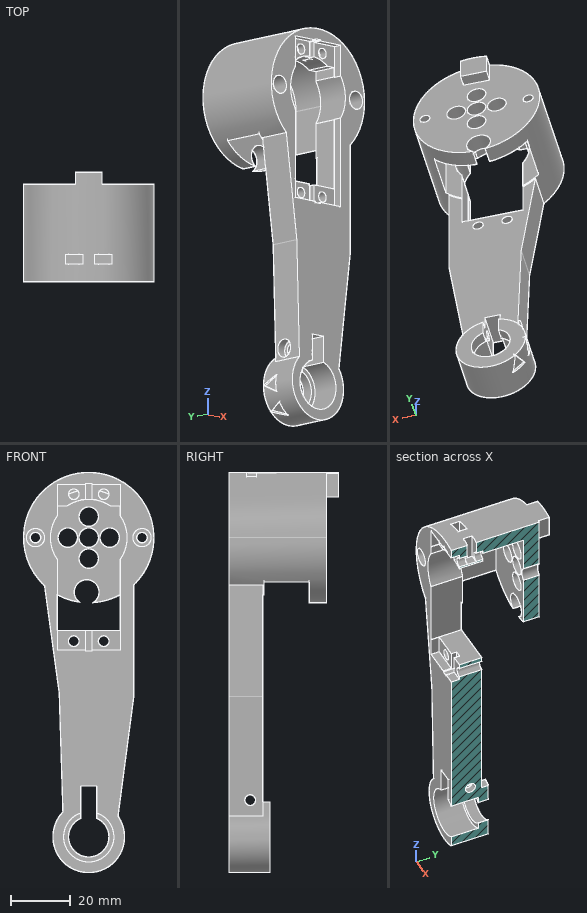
import cadquery as cq
import math


TOTAL_HEIGHT = 133.76
DRUM_RADIUS = 21.82
DRUM_LENGTH = 32.72
REAR_PLATE = 5.9
FRONT_DISC = 11.8
CHAMBER_RADIUS = 16.0
REAR_PLATE_Y = DRUM_LENGTH - REAR_PLATE
ARM_THICKNESS = 11.35
RING_RADIUS = 12.0
RING_Z = DRUM_RADIUS + RING_RADIUS - TOTAL_HEIGHT
RING_LENGTH = 13.85
RING_BORE_RADIUS = 8.4
RING_LIP_RADIUS = 6.7
RING_LIP = 3.85
CLAMP_SLOT_WIDTH = 5.3
CLAMP_SLOT_TOP = -83.05
CLAMP_SCREW_Y = 7.15
CLAMP_SCREW_Z = -87.7
ARM_ROOT_Z = -14.0
ARM_LEFT_TOP = -14.8
ARM_LEFT_KNEE = (-9.9, -51.9)
ARM_LEFT_BOTTOM = -8.6
ARM_RIGHT = 15.1
ARM_RIGHT_KNEE_Z = -53.0
ARM_RIGHT_BOTTOM = 9.7
ARM_FOOT_Z = -94.0
BODY_WIDTH = 21.0
BODY_TOP = 10.5
BODY_BOTTOM = -31.0
BODY_BORE_RADIUS = 12.8
FLANGE_LEFT = -10.4
FLANGE_RIGHT = 10.6
FLANGE_TOP = 17.7
FLANGE_BOTTOM = -37.5
FLANGE_DEPTH = 3.0
RIB_GROOVE_WIDTH = 2.2
RIB_GROOVE_DEPTH = 5.0
RIB_GROOVE_REACH = 0.4
SCREW_RADIUS = 1.75
SCREW_HALF_SPACING = 5.0
SCREW_TOP_Z = 14.5
SCREW_BOTTOM_Z = -34.6
NUT_SLOT_INNER = 2.0
NUT_SLOT_OUTER = 7.75
NUT_SLOT_START = 6.0
NUT_SLOT_END = 9.25
NUT_SLOT_FLOOR = 12.65
SIDE_SCREW_X = 17.8
SIDE_SCREW_RADIUS = 1.7
SCREW_HEAD_RADIUS = 3.05
SIDE_HEAD_DEPTH = 6.0
CLAMP_HEAD_DEPTH = 3.0
HORN_HOLE_RADIUS = 3.2
HORN_HOLE_SPACING = 7.0
CABLE_HOLE_RADIUS = 4.1
CABLE_HOLE_X = -0.7
CABLE_HOLE_Z = -18.2
TAB_WIDTH = 9.0
TAB_LENGTH = 4.0
TAB_BOTTOM = 13.5
MARK_ANGLES = (180, 225)
MARK_BASE_Y = 7.95
MARK_TIP_Y = 13.75
MARK_HALF_HEIGHT = 2.9
MARK_DEPTH = 0.85


def rod(radius, y0, y1, x=0.0, z=0.0):
    """Cylinder along Y from y0 to y1."""
    return cq.Workplane("XZ", origin=(x, y0, z)).circle(radius).extrude(y0 - y1)


def block(x0, x1, y0, y1, z0, z1):
    """Axis-aligned box between two corners."""
    return cq.Workplane("XY").box(x1 - x0, y1 - y0, z1 - z0, centered=False).translate((x0, y0, z0))


def centred_block(width, y0, y1, z0, z1):
    """Box that is symmetric about the YZ plane."""
    return block(-width / 2, width / 2, y0, y1, z0, z1)


def make_drum():
    """Plain drum with the stop tab standing out behind it."""
    tab_end = DRUM_LENGTH + TAB_LENGTH
    tab = rod(DRUM_RADIUS, DRUM_LENGTH, tab_end).intersect(
        centred_block(TAB_WIDTH, DRUM_LENGTH, tab_end, TAB_BOTTOM, 2 * DRUM_RADIUS)
    )
    return rod(DRUM_RADIUS, 0, DRUM_LENGTH).union(tab)


def make_arm():
    """Tapered arm ending in the clamp ring."""
    left_top_z = -math.sqrt(DRUM_RADIUS**2 - ARM_LEFT_TOP**2)
    right_top_z = -math.sqrt(DRUM_RADIUS**2 - ARM_RIGHT**2)
    outline = [
        (ARM_LEFT_TOP, left_top_z),
        ARM_LEFT_KNEE,
        (ARM_LEFT_BOTTOM, ARM_FOOT_Z),
        (ARM_RIGHT_BOTTOM, ARM_FOOT_Z),
        (ARM_RIGHT, ARM_RIGHT_KNEE_Z),
        (ARM_RIGHT, right_top_z),
        (0, ARM_ROOT_Z),
    ]
    arm = cq.Workplane("XZ").polyline(outline).close().extrude(-ARM_THICKNESS)
    return arm.union(rod(RING_RADIUS, 0, RING_LENGTH, z=RING_Z))


def horn_chamber():
    """Round-topped chamber between the front disc and the rear plate, open at the bottom."""
    round_top = rod(CHAMBER_RADIUS, FRONT_DISC, REAR_PLATE_Y)
    open_bottom = centred_block(2 * CHAMBER_RADIUS, FRONT_DISC, REAR_PLATE_Y, -2 * DRUM_RADIUS, 0)
    return round_top.union(open_bottom)


def servo_cavity():
    """Opening for the servo body, with the shallow pocket and rib grooves for its flanges."""
    body = centred_block(BODY_WIDTH, 0, FRONT_DISC, BODY_BOTTOM, BODY_TOP)
    bore = rod(BODY_BORE_RADIUS, 0, FRONT_DISC)
    flange = block(FLANGE_LEFT, FLANGE_RIGHT, 0, FLANGE_DEPTH, FLANGE_BOTTOM, FLANGE_TOP)
    rib_groove = centred_block(
        RIB_GROOVE_WIDTH,
        0,
        RIB_GROOVE_DEPTH,
        FLANGE_BOTTOM - RIB_GROOVE_REACH,
        FLANGE_TOP + RIB_GROOVE_REACH,
    )
    return body.union(bore).union(flange).union(rib_groove)


def servo_screws():
    """Four flange screw holes; the upper two have nut slots cut down from the drum surface."""
    cuts = cq.Workplane("XY")
    for side in (-1, 1):
        x = side * SCREW_HALF_SPACING
        top_screw = rod(SCREW_RADIUS, 0, FRONT_DISC, x, SCREW_TOP_Z)
        bottom_screw = rod(SCREW_RADIUS, 0, ARM_THICKNESS, x, SCREW_BOTTOM_Z)
        slot_x0, slot_x1 = sorted((side * NUT_SLOT_INNER, side * NUT_SLOT_OUTER))
        nut_slot = block(
            slot_x0, slot_x1, NUT_SLOT_START, NUT_SLOT_END, NUT_SLOT_FLOOR, 2 * DRUM_RADIUS
        )
        cuts = cuts.add(top_screw).add(bottom_screw).add(nut_slot)
    return cuts.combine()


def side_screws():
    """Counterbored holes running the length of the drum walls."""
    cuts = cq.Workplane("XY")
    for x in (-SIDE_SCREW_X, SIDE_SCREW_X):
        cuts = cuts.add(rod(SIDE_SCREW_RADIUS, 0, DRUM_LENGTH, x))
        cuts = cuts.add(rod(SCREW_HEAD_RADIUS, 0, SIDE_HEAD_DEPTH, x))
    return cuts.combine()


def rear_plate_holes():
    """Five servo horn holes in a cross, and the cable hole that opens at the rim."""
    holes = rod(HORN_HOLE_RADIUS, REAR_PLATE_Y, DRUM_LENGTH)
    for angle in range(0, 360, 90):
        x = HORN_HOLE_SPACING * math.cos(math.radians(angle))
        z = HORN_HOLE_SPACING * math.sin(math.radians(angle))
        holes = holes.union(rod(HORN_HOLE_RADIUS, REAR_PLATE_Y, DRUM_LENGTH, x, z))
    return holes.union(rod(CABLE_HOLE_RADIUS, REAR_PLATE_Y, DRUM_LENGTH, CABLE_HOLE_X, CABLE_HOLE_Z))


def clamp_cuts():
    """Ring bore with a rear lip, the clamp slot above it and the screw that closes it."""
    bore = rod(RING_BORE_RADIUS, 0, RING_LENGTH - RING_LIP, z=RING_Z)
    lip_bore = rod(RING_LIP_RADIUS, 0, RING_LENGTH, z=RING_Z)
    slot = centred_block(CLAMP_SLOT_WIDTH, 0, RING_LENGTH, RING_Z, CLAMP_SLOT_TOP)
    screw_plane = cq.Workplane("YZ", origin=(0, CLAMP_SCREW_Y, CLAMP_SCREW_Z))
    screw = screw_plane.circle(SCREW_RADIUS).extrude(RING_RADIUS, both=True)
    head = (
        screw_plane.workplane(offset=ARM_LEFT_BOTTOM + CLAMP_HEAD_DEPTH)
        .circle(SCREW_HEAD_RADIUS)
        .extrude(-RING_RADIUS)
    )
    return bore.union(lip_bore).union(slot).union(screw).union(head)


def index_mark(angle):
    """Flat-bottomed triangle pressed into the ring, pointing at its rear face."""
    mark = (
        cq.Workplane("YZ", origin=(RING_RADIUS - MARK_DEPTH, 0, 0))
        .polyline([(MARK_TIP_Y, 0), (MARK_BASE_Y, MARK_HALF_HEIGHT), (MARK_BASE_Y, -MARK_HALF_HEIGHT)])
        .close()
        .extrude(2 * MARK_DEPTH)
    )
    return mark.rotate((0, 0, 0), (0, 1, 0), -angle).translate((0, 0, RING_Z))


result = make_drum().cut(horn_chamber()).union(make_arm())
result = result.cut(servo_cavity()).cut(servo_screws()).cut(side_screws())
result = result.cut(rear_plate_holes()).cut(clamp_cuts())
for mark_angle in MARK_ANGLES:
    result = result.cut(index_mark(mark_angle))